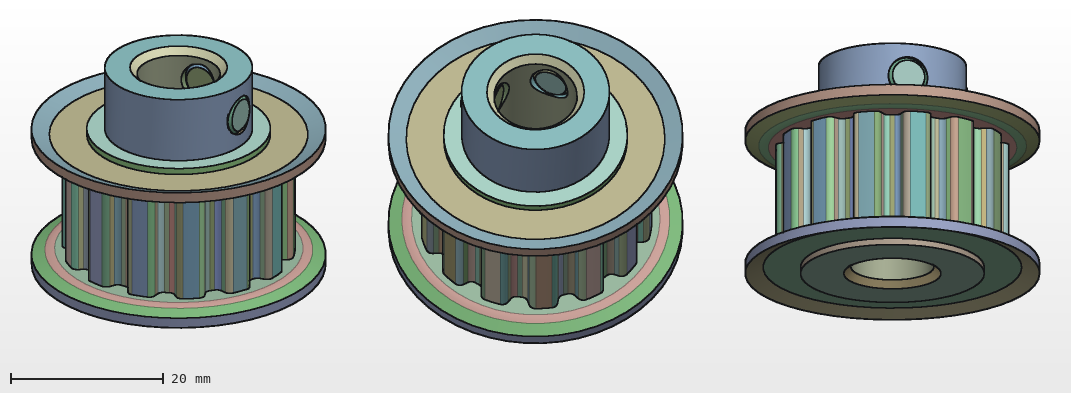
import cadquery as cq
import math

OUTER_RADIUS = 19.3
TOTAL_HEIGHT = 28.62

FLANGE_THICKNESS = 1.43
FLANGE_FLAT_RADIUS = 16.95
RIM_ANGLE = math.radians(20)
RIM_BEND_RADIUS = 3.75
RIM_RISE = (OUTER_RADIUS - FLANGE_FLAT_RADIUS) * math.tan(RIM_ANGLE)
FLANGE_HEIGHT = FLANGE_THICKNESS + RIM_RISE
BELT_WIDTH = 15.15
BODY_HEIGHT = BELT_WIDTH + 2 * FLANGE_HEIGHT

COLLAR_RADIUS = 12.05
HUB_RADIUS = 9.7
BORE_RADIUS = 5.45
BORE_CHAMFER = 0.93

TOOTH_COUNT = 14
TOOTH_PITCH = 360 / TOOTH_COUNT
TIP_RADIUS = 15.3
GAP_DEPTH = 1.8
ROOT_HALF_WIDTH = 0.9
FLANK_ANGLE = math.radians(25)
TOOTH_FILLET = 0.9

SCREW_RADIUS = 2.63
SCREW_CHAMFER = 0.45
SCREW_INNER_END = 5.37
SCREW_HEIGHT = (BODY_HEIGHT + TOTAL_HEIGHT) / 2


def bottom_flange():
    """Bottom flange, dished downward, with its belt-side bend rounded."""
    bend_length = RIM_BEND_RADIUS * math.tan(RIM_ANGLE / 2)
    arc_start = FLANGE_FLAT_RADIUS - bend_length
    arc_middle = (
        arc_start + RIM_BEND_RADIUS * math.sin(RIM_ANGLE / 2),
        FLANGE_HEIGHT - RIM_BEND_RADIUS * (1 - math.cos(RIM_ANGLE / 2)),
    )
    arc_end = (
        FLANGE_FLAT_RADIUS + bend_length * math.cos(RIM_ANGLE),
        FLANGE_HEIGHT - bend_length * math.sin(RIM_ANGLE),
    )
    return (
        cq.Workplane("XZ")
        .moveTo(0, RIM_RISE)
        .lineTo(FLANGE_FLAT_RADIUS, RIM_RISE)
        .lineTo(OUTER_RADIUS, 0)
        .lineTo(OUTER_RADIUS, FLANGE_THICKNESS)
        .lineTo(*arc_end)
        .threePointArc(arc_middle, (arc_start, FLANGE_HEIGHT))
        .lineTo(0, FLANGE_HEIGHT)
        .close()
        .revolve(360, (0, 0), (0, 1))
    )


def toothed_core():
    """Belt-carrying core between the flanges, with a tooth centred on +X."""
    root_radius = TIP_RADIUS - GAP_DEPTH
    cut_radius = OUTER_RADIUS
    mouth_half_width = ROOT_HALF_WIDTH + (cut_radius - root_radius) * math.tan(FLANK_ANGLE)
    gap = (
        cq.Workplane("XY")
        .polyline([
            (root_radius, -ROOT_HALF_WIDTH),
            (cut_radius, -mouth_half_width),
            (cut_radius, mouth_half_width),
            (root_radius, ROOT_HALF_WIDTH),
        ])
        .close()
        .extrude(BELT_WIDTH)
        .rotate((0, 0, 0), (0, 0, 1), TOOTH_PITCH / 2)
    )
    core = (
        cq.Workplane("XY")
        .circle(TIP_RADIUS)
        .extrude(BELT_WIDTH)
        .rotate((0, 0, 0), (0, 0, 1), TOOTH_PITCH / 2)
    )
    for tooth in range(TOOTH_COUNT):
        core = core.cut(gap.rotate((0, 0, 0), (0, 0, 1), tooth * TOOTH_PITCH))
    return core.edges("|Z").fillet(TOOTH_FILLET).translate((0, 0, FLANGE_HEIGHT))


def set_screw_along_x(radius, start, end):
    """Cylinder along +X at the set screw height."""
    return (
        cq.Workplane("YZ", origin=(start, 0, SCREW_HEIGHT))
        .circle(radius)
        .extrude(end - start)
    )


def fit_set_screw(body, direction):
    """Bore the hub wall and fill the hole with a screw chamfered at both ends."""
    hole = set_screw_along_x(SCREW_RADIUS, 0, OUTER_RADIUS)
    screw = set_screw_along_x(SCREW_RADIUS, SCREW_INNER_END, HUB_RADIUS)
    screw = screw.faces("<X or >X").chamfer(SCREW_CHAMFER)
    axis = ((0, 0, 0), (0, 0, 1))
    return body.cut(hole.rotate(*axis, direction)).union(screw.rotate(*axis, direction))


def bore():
    """Through bore, chamfered at both ends."""
    mouth_radius = BORE_RADIUS + BORE_CHAMFER
    return (
        cq.Workplane("XZ")
        .polyline([
            (0, 0),
            (mouth_radius, 0),
            (BORE_RADIUS, BORE_CHAMFER),
            (BORE_RADIUS, TOTAL_HEIGHT - BORE_CHAMFER),
            (mouth_radius, TOTAL_HEIGHT),
            (0, TOTAL_HEIGHT),
        ])
        .close()
        .revolve(360, (0, 0), (0, 1))
    )


flange = bottom_flange()
top_flange = flange.mirror("XY", (0, 0, BODY_HEIGHT / 2))
collar = cq.Workplane("XY").circle(COLLAR_RADIUS).extrude(BODY_HEIGHT)
hub = cq.Workplane("XY").circle(HUB_RADIUS).extrude(TOTAL_HEIGHT)

pulley = toothed_core().union(flange).union(top_flange).union(collar).union(hub).cut(bore())
for screw_direction in (0, 90):
    pulley = fit_set_screw(pulley, screw_direction)

result = pulley